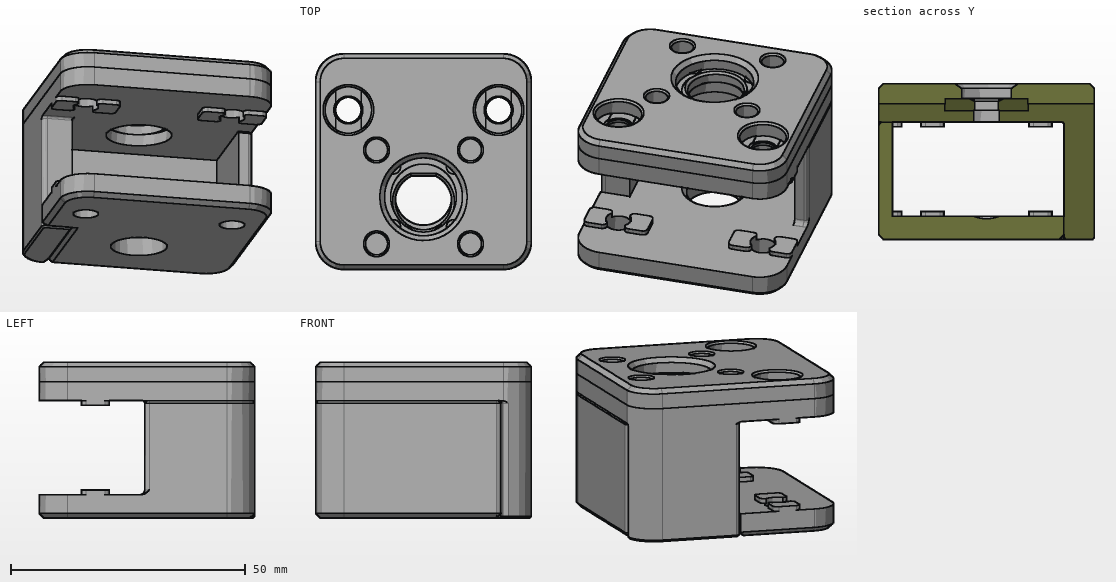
import cadquery as cq
import math

side = 46.0
half = side / 2
corner_radius = 6.0
floor_top = 5.0
carrier_bottom = 25.0
lid_bottom = 29.0
lid_top = 33.2
outer_chamfer = 1.0
oversize = 2 * side
select_margin = 0.5

wall_end_y = 0.5
split_x = 16.5
wall_edge_radius = 1.0
wall_thickness = 3.0
base_foot_radius = 1.0
carrier_foot_radius = 0.5
base_rim_chamfer = 0.5
carrier_wall_chamfer = 0.4
relief_width = 0.5

axis_y = -7.5
cable_hole_diameter = 12.0
cable_hole_chamfer = 1.0
lid_opening_diameter = 16.6
lid_opening_chamfer = 1.0
insert_diameter = 22.0
land_diameter = 14.0
land_height = 0.1
insert_bottom = 27.5
insert_top = 30.0

flat_hole_radius = 6.0
flat_hole_offset = 1.0
flat_hole_y = axis_y - flat_hole_offset
flat_distance = 5.4
flat_hole_chamfer = 0.6

stud_diameter = 3.2
stud_circle_radius = 9.14

screw_x = 16.0
screw_y = 11.0
screw_hole_diameter = 5.4
screw_hole_chamfer = 0.4
head_diameter = 9.9
head_rim_chamfer = 0.45
head_floor = 30.0
head_slot_depth = 0.15
key_width = 6.0
key_height = 1.0
key_length = 5.0
key_edge_radius = 1.0

pocket_diameter = 4.7
pocket_spacing = 20.0
pocket_rim_chamfer = 0.4

screw_points = [(-screw_x, screw_y), (screw_x, screw_y)]
pocket_points = [
    (sx * pocket_spacing / 2, axis_y + sy * pocket_spacing / 2) for sx in (-1, 1) for sy in (-1, 1)
]


def outline_prism(bottom, top):
    """Square prism with the rounded corners shared by all the bodies."""
    return (
        cq.Workplane("XY", origin=(0, 0, bottom))
        .rect(side, side)
        .extrude(top - bottom)
        .edges("|Z")
        .fillet(corner_radius)
    )


def block(x0, x1, y0, y1, z0, z1):
    """Box given by its limits."""
    return cq.Workplane("XY").box(x1 - x0, y1 - y0, z1 - z0, centered=False).translate((x0, y0, z0))


def cylinder(x, y, diameter, bottom, top):
    return cq.Workplane("XY", origin=(x, y, bottom)).circle(diameter / 2).extrude(top - bottom)


def countersink(x, y, diameter, chamfer, top):
    """Cone that breaks the rim of a hole whose mouth is at the given height."""
    return cq.Workplane(
        cq.Solid.makeCone(diameter / 2, diameter / 2 + chamfer, chamfer, pnt=cq.Vector(x, y, top - chamfer))
    )


def edge_near(x, y):
    """Selector for the upright edge standing close to the given point."""
    return cq.selectors.BoxSelector(
        (x - select_margin, y - select_margin, 0),
        (x + select_margin, y + select_margin, lid_top),
    )


def rooted_wall(wall, plate_bottom, plate_top, root, foot_radius):
    """Join a wall to a plate, with a rounded foot trimmed flush with the outline."""
    plate = block(-oversize / 2, oversize / 2, -oversize / 2, oversize / 2, plate_bottom, plate_top)
    reach_xy = half + select_margin
    foot = cq.selectors.BoxSelector(
        (-reach_xy, -reach_xy, root - select_margin),
        (reach_xy, reach_xy, root + select_margin),
        boundingbox=True,
    )
    return plate.union(wall).edges(foot).fillet(foot_radius).intersect(outline_prism(0, lid_top))


def keys(bottom):
    """Rounded keys, one at each side of both screw holes, the outer ones flush with the sides."""
    key_offset = half - key_length / 2 - screw_x
    key_points = [(x + sign * key_offset, y) for x, y in screw_points for sign in (-1, 1)]
    return (
        cq.Workplane("XY", origin=(0, 0, bottom))
        .pushPoints(key_points)
        .rect(key_length, key_width)
        .extrude(key_height)
        .edges("|Z")
        .fillet(key_edge_radius)
    )


def make_base():
    """Floor with a wall along the left and front sides, open towards the carrier wall."""
    wall = outline_prism(floor_top, carrier_bottom).intersect(
        block(-half, split_x, -half, wall_end_y, floor_top, carrier_bottom)
    )
    wall = wall.edges(edge_near(-half, wall_end_y)).edges("|Z").fillet(wall_edge_radius)
    wall = wall.edges(edge_near(split_x, -half)).edges("|Z").fillet(wall_edge_radius)
    body = rooted_wall(wall, 0, floor_top, floor_top, base_foot_radius)

    footprint = outline_prism(0, carrier_bottom).cut(
        block(split_x, half, -half, wall_end_y, 0, carrier_bottom)
    )
    footprint = footprint.edges(edge_near(split_x, -half)).edges("|Z").fillet(wall_edge_radius)
    footprint = footprint.faces("<Z").edges().chamfer(outer_chamfer)
    body = body.intersect(footprint)
    body = body.faces(">Z").edges().chamfer(base_rim_chamfer)

    chamber = block(
        wall_thickness - half, half,
        wall_thickness - half, wall_end_y + base_foot_radius,
        floor_top, carrier_bottom,
    )
    body = body.cut(chamber)
    body = body.union(keys(floor_top))
    body = body.cut(cylinder(0, axis_y, cable_hole_diameter, 0, floor_top))
    body = body.cut(countersink(0, axis_y, cable_hole_diameter, cable_hole_chamfer, floor_top))
    for x, y in screw_points:
        body = body.cut(cylinder(x, y, screw_hole_diameter, 0, floor_top + key_height))
    return body


def make_carrier():
    """Plate under the lid, with a right-hand wall reaching down to the bottom of the base."""
    wall = outline_prism(0, carrier_bottom).intersect(
        block(split_x, half, -half, wall_end_y, 0, carrier_bottom)
    )
    relief = (
        cq.Workplane("XY")
        .polyline([
            (split_x, -half),
            (split_x + relief_width, -half),
            (split_x, wall_thickness - half),
        ])
        .close()
        .extrude(carrier_bottom)
    )
    wall = wall.cut(relief)
    wall = wall.edges(edge_near(split_x + relief_width, -half)).edges("|Z").fillet(wall_edge_radius)
    wall = wall.edges(edge_near(half, wall_end_y)).edges("|Z").fillet(wall_edge_radius)
    wall = wall.faces("<Z").edges().chamfer(carrier_wall_chamfer)
    body = rooted_wall(wall, carrier_bottom, lid_bottom, carrier_bottom, carrier_foot_radius)

    body = body.union(keys(carrier_bottom - key_height))
    body = body.cut(cylinder(0, axis_y, land_diameter, carrier_bottom, lid_bottom))
    body = body.cut(cylinder(0, axis_y, insert_diameter, insert_bottom, lid_bottom))
    for x, y in screw_points:
        body = body.cut(cylinder(x, y, screw_hole_diameter, carrier_bottom - key_height, lid_bottom))
    return body


def studs():
    """Four studs on top of the insert, at 45 degrees around the axis."""
    offset = stud_circle_radius / math.sqrt(2)
    return (
        cq.Workplane("XY", origin=(0, axis_y, insert_top))
        .rect(2 * offset, 2 * offset, forConstruction=True)
        .vertices()
        .circle(stud_diameter / 2)
        .extrude(land_height)
    )


def flatted_profile(clearance, z):
    """Circle with one flat on its +Y side, enlarged all round by the clearance."""
    radius = flat_hole_radius + clearance
    flat = flat_distance + clearance
    flat_end_x = math.sqrt(radius**2 - flat**2)
    return (
        cq.Workplane("XY", origin=(0, flat_hole_y, z))
        .moveTo(-flat_end_x, flat)
        .threePointArc((0, -radius), (flat_end_x, flat))
        .close()
    )


def make_insert():
    """Disc held between the carrier and the lid, with a flared, flatted opening."""
    body = cylinder(0, axis_y, insert_diameter, insert_bottom, insert_top).union(studs())
    land_top = insert_top + land_height
    body = body.union(cylinder(0, axis_y, land_diameter, insert_top, land_top))
    body = body.cut(flatted_profile(0, insert_bottom).extrude(land_top - insert_bottom))
    flare = flatted_profile(flat_hole_chamfer, land_top).extrude(-flat_hole_chamfer, taper=45)
    return body.cut(flare)


def make_lid():
    """Top plate with screw-head counterbores; each floor has a shallow slot across the hole."""
    body = outline_prism(lid_bottom, lid_top).faces(">Z").edges().chamfer(outer_chamfer)
    body = body.cut(cylinder(0, axis_y, insert_diameter, lid_bottom, insert_top))
    body = body.cut(studs())
    body = body.cut(cylinder(0, axis_y, lid_opening_diameter, lid_bottom, lid_top))
    body = body.cut(countersink(0, axis_y, lid_opening_diameter, lid_opening_chamfer, lid_top))
    for x, y in pocket_points:
        body = body.cut(cylinder(x, y, pocket_diameter, lid_bottom, lid_top))
        body = body.cut(countersink(x, y, pocket_diameter, pocket_rim_chamfer, lid_top))
    for x, y in screw_points:
        slot_floor = head_floor - head_slot_depth
        slot = block(
            x - screw_hole_diameter / 2, x + screw_hole_diameter / 2,
            y - head_diameter / 2, y + head_diameter / 2,
            slot_floor, head_floor,
        ).intersect(cylinder(x, y, head_diameter, slot_floor, head_floor))
        body = body.cut(cylinder(x, y, head_diameter, head_floor, lid_top))
        body = body.cut(slot)
        body = body.cut(cylinder(x, y, screw_hole_diameter, lid_bottom, lid_top))
        body = body.cut(countersink(x, y, screw_hole_diameter, screw_hole_chamfer, head_floor))
        body = body.cut(countersink(x, y, head_diameter, head_rim_chamfer, lid_top))
    return body


base = make_base()
carrier = make_carrier()
insert = make_insert()
lid = make_lid()

result = cq.Compound.makeCompound([base.val(), carrier.val(), insert.val(), lid.val()])